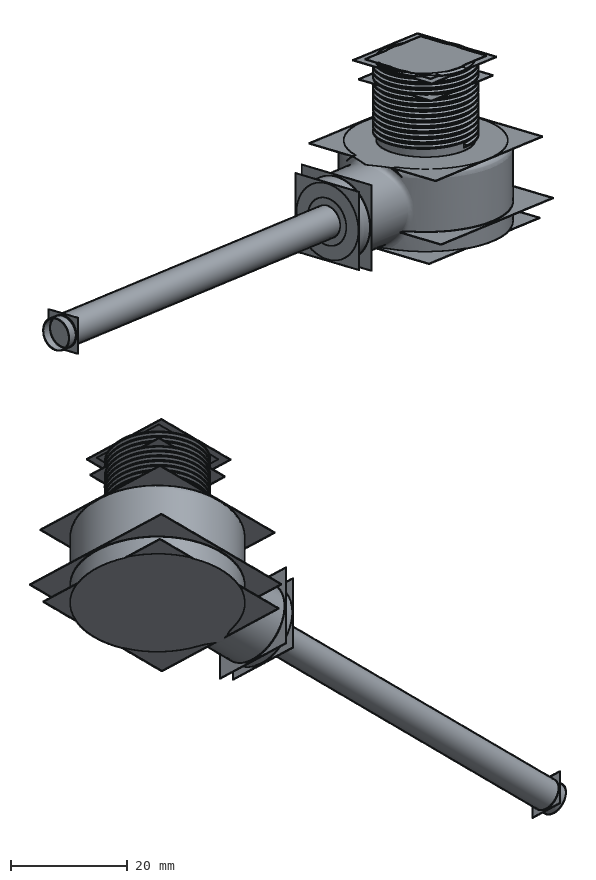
import cadquery as cq
import math

overall_length = 113.6

drum_radius = 15.0
drum_height = 15.0
drum_fillet = 1.5

arm_radius = drum_height / 2
arm_axis_height = drum_height / 2
arm_end_y = -26.2
arm_end_fillet = 1.0
arm_root_fillet = 1.0

trim_margin = 1.1
selection_slack = 0.1

stem_radius = 8.5
stem_height = 15.0
stem_cap_radius = 7.6
stem_top = drum_height + stem_height
thread_radius = 9.1
thread_pitch = 1.0
thread_turns = 14
thread_start = stem_top - thread_pitch * thread_turns
thread_root_width = 0.9
thread_crest_width = 0.2
thread_overlap = 0.1

cable_radius = 3.0
cable_end_y = -98.3
collar_radius = 4.3
collar_depth = 6.0
tip_recess_radius = 2.8
tip_recess_depth = 1.8

plate_thickness = 0.1
top_plate_half = 14.2
seam_plate_half_width = 31.2 / 2
seam_plate_back_y = cable_end_y + overall_length
seam_plate_front_y = -14.4
seam_plate_height = 3.7
base_plate_half_width = 13.9
base_plate_back_y = 13.9
base_plate_front_y = -15.6
stem_cap_plate_half = 7.4
stem_top_plate_half_width = 8.9
stem_top_plate_front_y = -8.9
stem_top_plate_back_y = 8.3
stem_lower_plate_half = 8.2
stem_lower_plate_height = 26.5
arm_plate_overhang = 0.3
arm_plate_half = arm_radius + arm_plate_overhang
arm_plate_y = -23.7
arm_end_plate_half = 7.2
tip_plate_half = 3.3


def cylinder_z(radius, bottom, height):
    """Upright cylinder on the drum axis."""
    return cq.Workplane("XY", origin=(0, 0, bottom)).circle(radius).extrude(height)


def cylinder_along_arm(radius, start_y, end_y):
    """Cylinder on the arm axis, running toward -Y from start_y to end_y."""
    return (
        cq.Workplane("XZ", origin=(0, start_y, arm_axis_height))
        .circle(radius)
        .extrude(start_y - end_y)
    )


def level_plate(half_width, front_y, back_y, top):
    """Thin horizontal plate whose upper face is at the height top."""
    return cq.Workplane("XY").box(
        2 * half_width, back_y - front_y, plate_thickness, centered=(True, False, False)
    ).translate((0, front_y, top - plate_thickness))


def square_plate(half_width, top):
    """Thin horizontal square plate centred on the drum axis."""
    return level_plate(half_width, -half_width, half_width, top)


def upright_plate(half_width, front_y):
    """Thin square plate across the arm axis, with its -Y face at front_y."""
    return cq.Workplane("XY").box(
        2 * half_width, plate_thickness, 2 * half_width, centered=(True, False, True)
    ).translate((0, front_y, arm_axis_height))


def drum_edge_waste():
    """Ring outside the rounded top edge of the drum, left whole around the arm."""
    tangent_radius = drum_radius - drum_fillet
    tangent_height = drum_height - drum_fillet
    arc_middle = drum_fillet * math.sqrt(0.5)
    ring = (
        cq.Workplane("XZ")
        .moveTo(tangent_radius, drum_height)
        .threePointArc(
            (tangent_radius + arc_middle, tangent_height + arc_middle), (drum_radius, tangent_height)
        )
        .lineTo(drum_radius + trim_margin, tangent_height)
        .lineTo(drum_radius + trim_margin, drum_height + trim_margin)
        .lineTo(tangent_radius, drum_height + trim_margin)
        .close()
        .revolve(360, (0, 0), (0, 1))
    )
    return ring.cut(cylinder_along_arm(arm_radius + trim_margin, 0, arm_end_y))


def make_drum_and_arm():
    """Drum and arm with a fillet where they meet, cut level with the drum's top and underside."""
    drum = cylinder_z(drum_radius, -trim_margin, drum_height + 2 * trim_margin)
    arm = cylinder_along_arm(arm_radius, 0, arm_end_y).faces("<Y").edges().fillet(arm_end_fillet)
    drum_wall_by_arm = cq.selectors.BoxSelector(
        (-drum_radius, -drum_radius - selection_slack, -selection_slack),
        (drum_radius, 0, drum_height + selection_slack),
        boundingbox=True,
    )
    joined = drum.union(arm).edges(drum_wall_by_arm).fillet(arm_root_fillet)
    level_slab = cq.Workplane("XY").box(
        4 * drum_radius, 4 * drum_radius, drum_height, centered=(True, True, False)
    )
    return joined.intersect(level_slab).cut(drum_edge_waste())


def make_stem():
    """Plain core with a helical thread, a low end cap and its plates."""
    core = cylinder_z(stem_radius, drum_height, stem_height)
    helix = cq.Wire.makeHelix(thread_pitch, thread_pitch * thread_turns, stem_radius)
    root_x = stem_radius - thread_overlap
    thread = (
        cq.Workplane("XZ")
        .moveTo(root_x, -thread_root_width / 2)
        .lineTo(thread_radius, -thread_crest_width / 2)
        .lineTo(thread_radius, thread_crest_width / 2)
        .lineTo(root_x, thread_root_width / 2)
        .close()
        .sweep(cq.Workplane(obj=helix), isFrenet=True)
        .translate((0, 0, thread_start))
    )
    stem = core.union(thread, clean=False)
    stem_parts = [
        square_plate(stem_lower_plate_half, stem_lower_plate_height),
        level_plate(
            stem_top_plate_half_width, stem_top_plate_front_y, stem_top_plate_back_y, stem_top
        ),
        square_plate(stem_cap_plate_half, stem_top + plate_thickness),
        cylinder_z(stem_cap_radius, stem_top, plate_thickness),
    ]
    for part in stem_parts:
        stem = stem.union(part, clean=False)
    return stem


def make_housing():
    """Drum, arm, threaded stem and their plates, bored for the cable collar."""
    drum_and_arm = make_drum_and_arm()
    plates = [
        square_plate(top_plate_half, drum_height),
        level_plate(seam_plate_half_width, seam_plate_front_y, seam_plate_back_y, seam_plate_height),
        level_plate(base_plate_half_width, base_plate_front_y, base_plate_back_y, plate_thickness),
        upright_plate(arm_plate_half, arm_plate_y),
        upright_plate(arm_end_plate_half, arm_end_y),
    ]
    for plate in plates:
        drum_and_arm = drum_and_arm.union(plate, clean=False)
    joined = make_stem().union(drum_and_arm, clean=False)
    bore = cylinder_along_arm(collar_radius, arm_end_y + collar_depth, arm_end_y)
    return joined.cut(bore, clean=False).solids()


def make_cable():
    """Cable with its collar, and a plate around its recessed free end."""
    collar = cylinder_along_arm(collar_radius, arm_end_y + collar_depth, arm_end_y)
    cable = cylinder_along_arm(cable_radius, arm_end_y, cable_end_y)
    recess_floor_y = cable_end_y + tip_recess_depth
    recess = cylinder_along_arm(tip_recess_radius, recess_floor_y, cable_end_y)
    tip_plate = upright_plate(tip_plate_half, recess_floor_y)
    return collar.union(cable).union(tip_plate).cut(recess)


housing = make_housing()
cable = make_cable()
result = cq.Compound.makeCompound([housing.val(), cable.val()])